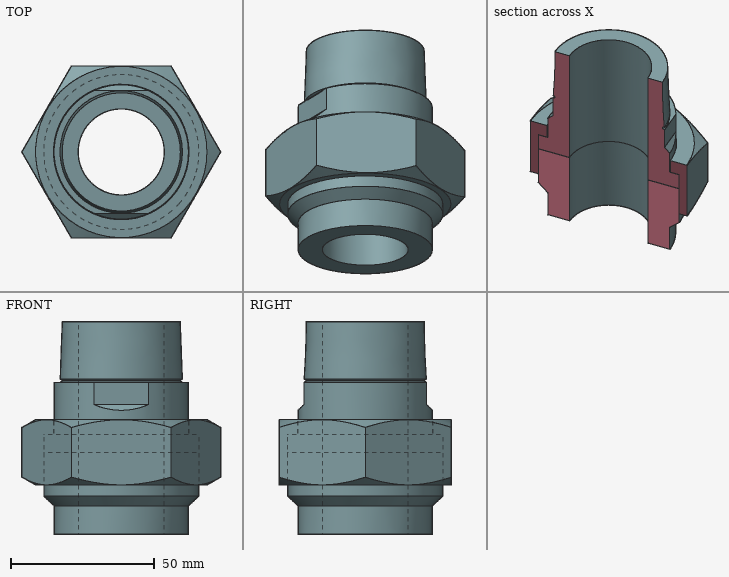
import cadquery as cq
import math

total_height = 74.0
bore_radius = 14.95
barrel_radius = 23.4
shoulder_radius = 27.0

nut_bottom = 17.1
nut_top = 39.95
nut_across_flats = 60.0
nut_chamfer_angle = 30.0
nut_face_radius = 29.8
nut_clearance = 0.2
nut_lip_thickness = 5.2

lower_barrel_height = 9.85
lower_cone_top = 13.25
seat_height = (nut_bottom + nut_top) / 2

tail_flange_top = nut_top - nut_lip_thickness
collar_top = 52.9
neck_radius = 20.6
neck_height = 0.2
neck_cone_height = 0.45
neck_bottom = collar_top + neck_cone_height
neck_top = neck_bottom + neck_height
thread_bottom = neck_top + neck_cone_height
thread_bottom_radius = 21.3
thread_top_radius = 20.6

flat_distance = 21.4
flat_bottom = 45.15


def revolve_profile(points):
    """Revolve a closed outline of (radius, height) points about Z."""
    return cq.Workplane("XZ").polyline(points).close().revolve(360, (0, 0), (0, 1))


def make_lower_body():
    return revolve_profile([
        (bore_radius, 0),
        (barrel_radius, 0),
        (barrel_radius, lower_barrel_height),
        (shoulder_radius, lower_cone_top),
        (shoulder_radius, seat_height),
        (bore_radius, seat_height),
    ])


def make_flat_cutter():
    """Cutter for the flat on the +Y side, running out at 45 degrees below."""
    outer_distance = barrel_radius + 0.75
    runout_bottom = flat_bottom - (outer_distance - flat_distance)
    return (
        cq.Workplane("YZ")
        .polyline([
            (flat_distance, collar_top),
            (flat_distance, flat_bottom),
            (outer_distance, runout_bottom),
            (outer_distance, collar_top),
        ])
        .close()
        .extrude(barrel_radius, both=True)
    )


def make_tail():
    tail = revolve_profile([
        (bore_radius, seat_height),
        (shoulder_radius, seat_height),
        (shoulder_radius, tail_flange_top),
        (barrel_radius, tail_flange_top),
        (barrel_radius, collar_top),
        (thread_bottom_radius, collar_top),
        (neck_radius, neck_bottom),
        (neck_radius, neck_top),
        (thread_bottom_radius, thread_bottom),
        (thread_top_radius, total_height),
        (bore_radius, total_height),
    ])
    flat_cutter = make_flat_cutter()
    for side_angle in (0, 180):
        tail = tail.cut(flat_cutter.rotate((0, 0, 0), (0, 0, 1), side_angle))
    return tail


def make_nut():
    corner_diameter = nut_across_flats / math.cos(math.radians(30))
    hexagon = (
        cq.Workplane("XY")
        .workplane(offset=nut_bottom)
        .polygon(6, corner_diameter)
        .extrude(nut_top - nut_bottom)
    )

    envelope_radius = corner_diameter / 2 + 0.75
    chamfer_drop = (envelope_radius - nut_face_radius) * math.tan(math.radians(nut_chamfer_angle))
    envelope = revolve_profile([
        (0, nut_bottom),
        (nut_face_radius, nut_bottom),
        (envelope_radius, nut_bottom + chamfer_drop),
        (envelope_radius, nut_top - chamfer_drop),
        (nut_face_radius, nut_top),
        (0, nut_top),
    ])

    lip_radius = barrel_radius + nut_clearance
    hole = revolve_profile([
        (0, nut_bottom),
        (shoulder_radius, nut_bottom),
        (shoulder_radius, tail_flange_top),
        (lip_radius, tail_flange_top),
        (lip_radius, nut_top),
        (0, nut_top),
    ])
    return hexagon.intersect(envelope).cut(hole)


lower_body = make_lower_body()
tail = make_tail()
nut = make_nut()

result = cq.Compound.makeCompound([lower_body.val(), tail.val(), nut.val()])